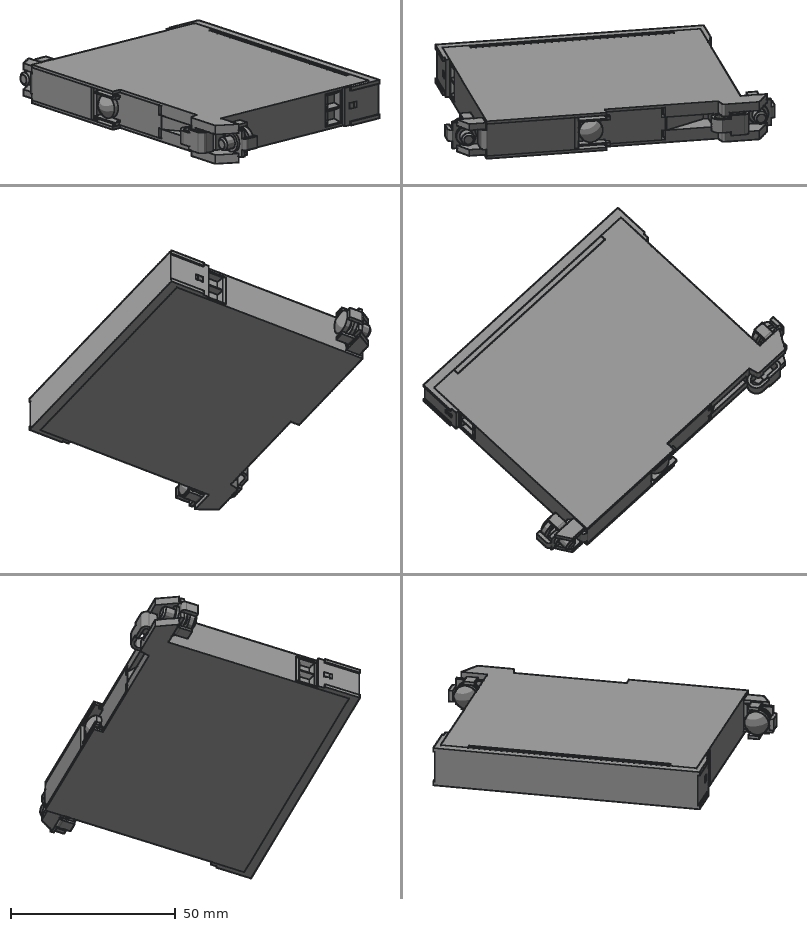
import cadquery as cq
import math


half_thickness = 6.1
housing_half_length = 40.0
housing_top = 65.9
housing_offset = -0.1
housing_left = housing_offset - housing_half_length
housing_right = housing_offset + housing_half_length
rail_notch_start = -2.8
rail_notch_end = 32.3
rail_notch_floor = 2.9
jaw_bottom = -0.2
jaw_heel = 33.1
jaw_heel_radius = 0.8
jaw_toe = 44.5
jaw_tip = 48.1
right_seat = 6.1
label_slot_half_length = 31.5
label_slot_width = 1.7
label_slot_depth = 0.3

foot_half_width = 5.2
left_seat = 5.8
channel_end = 15.9
foot_end = 14.8
foot_block_end = -12.7
foot_step_end = -11.4
foot_step_depth = 1.0
foot_arm_tip = -48.1
foot_arm_toe = -45.3
foot_arm_bottom = 1.1
foot_arm_inner = 3.1
foot_web_thickness = 1.5
hook_end = -1.7
hook_height = 1.6
hook_inner = 3.7
hook_rail_outer = 4.2
hook_head_outer = 4.7

lock_screw_x = -7.4
lock_screw_head_radius = 3.7
lock_screw_rim_height = 1.5
lock_screw_dome_height = 2.0
lock_screw_shank_radius = 1.5

spring_narrow = 2.1
spring_wide = 3.2
spring_width_step = 35.2
spring_thickness = 1.0
spring_bottom = -2.7
spring_loop_x = 32.4
spring_loop_radius = 2.7
spring_loop_tail = 1.5
spring_right = 41.0
spring_bend_radius = 1.8
spring_leg_top = 2.0
groove_ramp_start = 16.3
groove_ramp_end = 29.2
groove_end = 30.9
groove_ramp_angle = 30.0
jaw_pocket_top = 3.0

cover_top = 68.8
cover_panel = 1.1
cover_rim = 0.5
cover_rim_width = 1.2
cover_panel_bottom = 55.2
cover_rim_bottom = 57.2
catch_half_width = 0.9
catch_depth = 0.3
catch_spans = [(57.2, 58.6), (59.1, 59.9)]

port_recess_bottom = 48.4
port_recess_depth = 0.3
port_recess_half_width = 5.2
port_y = 52.0
port_pitch = 5.1
port_mouth = (5.1, 4.8)
port_throat = (3.1, 2.7)
port_depth = 1.5

terminal_x = 45.4
plate_thickness = 1.2
plate_half_width = 4.2
plate_outer = 4.1
plate_inner_bottom = 5.3
plate_inner_top = 3.9
tab_outer = 5.4
tab_half_width = 1.8
tab_bend_radius = 1.2
ear_start = -2.6
ear_end = 0.7
ear_top = 5.2
ear_outer = 5.2
ear_thickness = 1.0
ear_bend_radius = 1.2
pad_radius = 3.8
pad_height = 1.2
collar_radius = 3.0
collar_height = 0.9
screw_radius = 2.0
screw_neck_radius = 1.6
screw_tip = -4.6
screw_tip_chamfer = 0.6
screw_head_radius = 3.8
screw_head_base = 3.5
screw_rim_top = 5.1
screw_head_top = 6.5


def prism(points, z_low, z_high):
    """Straight-sided outline in XY, extruded between two Z heights."""
    return cq.Workplane("XY").workplane(offset=z_low).polyline(points).close().extrude(z_high - z_low)


def block(x_range, y_range, z_range):
    """Box given by its X, Y and Z limits."""
    (x0, x1), (y0, y1), (z0, z1) = x_range, y_range, z_range
    return cq.Workplane("XY").box(x1 - x0, y1 - y0, z1 - z0, centered=False).translate((x0, y0, z0))


def across(half_width):
    """Z range centred on the middle plane."""
    return (-half_width, half_width)


def both_sides(shape):
    """The shape together with its mirror image in the middle plane."""
    return shape.union(shape.mirror("XY"))


def upright_cylinder(radius, y_low, y_high):
    """Cylinder on the Y axis between two heights."""
    return cq.Workplane("XZ").workplane(offset=-y_low).circle(radius).extrude(y_low - y_high)


def make_ports():
    """Recess and two tapered connector openings, to be cut from the left housing end."""
    ports = block(
        (housing_left, housing_left + port_recess_depth),
        (port_recess_bottom, cover_panel_bottom),
        across(port_recess_half_width),
    )
    for z in (-port_pitch / 2, port_pitch / 2):
        funnel = (
            cq.Workplane("YZ", origin=(housing_left + port_recess_depth, port_y, z))
            .rect(*port_mouth)
            .workplane(offset=port_depth)
            .rect(*port_throat)
            .loft()
        )
        ports = ports.union(funnel)
    return ports


def make_spring_groove():
    """Ramped groove beside the rail notch, widening into the pocket in the jaw."""
    ramp_slope = math.tan(math.radians(groove_ramp_angle))
    ramp_top = rail_notch_floor + (groove_ramp_end - groove_ramp_start) * ramp_slope
    groove = prism(
        [
            (groove_ramp_start, spring_bottom),
            (groove_ramp_start, rail_notch_floor),
            (groove_ramp_end, ramp_top),
            (groove_end, ramp_top),
            (groove_end, rail_notch_floor),
            (spring_width_step, rail_notch_floor),
            (spring_width_step, spring_bottom),
        ],
        *across(spring_narrow),
    )
    pocket = block(
        (spring_width_step, spring_right), (spring_bottom, jaw_pocket_top), across(spring_wide)
    )
    screw_gap = block((spring_right, jaw_tip), (jaw_bottom, right_seat), across(spring_wide))
    return groove.union(pocket).union(screw_gap)


def make_housing():
    body = prism(
        [
            (housing_left, 0),
            (rail_notch_start, 0),
            (rail_notch_start, rail_notch_floor),
            (rail_notch_end, rail_notch_floor),
            (jaw_heel, jaw_bottom),
            (jaw_toe, jaw_bottom),
            (jaw_tip, right_seat),
            (housing_right, right_seat),
            (housing_right, housing_top),
            (housing_left, housing_top),
        ],
        *across(half_thickness),
    )
    heel_edge = cq.selectors.NearestToPointSelector((jaw_heel, jaw_bottom, 0))
    body = body.edges(heel_edge).fillet(jaw_heel_radius)
    channel = block((housing_left, channel_end), (0, left_seat), across(foot_half_width))
    label_slot = block(
        (housing_offset - label_slot_half_length, housing_offset + label_slot_half_length),
        (housing_top - label_slot_width, housing_top),
        (half_thickness - label_slot_depth, half_thickness),
    )
    left_ports = make_ports()
    right_ports = left_ports.mirror("YZ", (housing_offset, 0, 0))
    body = body.cut(channel).cut(label_slot).cut(make_spring_groove())
    return body.cut(left_ports).cut(right_ports)


def make_cover_end():
    """Left end wall of the cover with its raised rims and the catch marks."""
    panel_face = housing_left - cover_panel
    wall = block((panel_face, housing_left), (cover_panel_bottom, cover_top), across(half_thickness))
    rim = block(
        (panel_face - cover_rim, panel_face),
        (cover_rim_bottom, cover_top),
        (half_thickness - cover_rim_width, half_thickness),
    )
    wall = wall.union(both_sides(rim))
    for y_low, y_high in catch_spans:
        ramp = [(panel_face, y_low), (panel_face + catch_depth, y_low), (panel_face, y_high)]
        wall = wall.cut(prism(ramp, *across(catch_half_width)))
    return wall


def make_cover():
    strip = block((housing_left, housing_right), (housing_top, cover_top), across(half_thickness))
    left_end = make_cover_end()
    right_end = left_end.mirror("YZ", (housing_offset, 0, 0))
    return strip.union(left_end).union(right_end)


def make_foot():
    body = prism(
        [
            (housing_left, 0),
            (foot_block_end, 0),
            (foot_block_end, foot_step_depth),
            (foot_step_end, foot_step_depth),
            (foot_step_end, rail_notch_floor),
            (foot_end, rail_notch_floor),
            (foot_end, left_seat),
            (housing_left, left_seat),
        ],
        *across(foot_half_width),
    )
    end_tongue = block((foot_end, channel_end), (rail_notch_floor, left_seat), across(spring_narrow))
    arm = prism(
        [
            (housing_left, foot_arm_bottom),
            (foot_arm_toe, foot_arm_bottom),
            (foot_arm_tip, left_seat),
            (housing_left, left_seat),
        ],
        foot_arm_inner,
        foot_half_width,
    )
    web = block((housing_left - foot_web_thickness, foot_block_end), (0, left_seat), across(foot_arm_inner))
    web = web.edges("|Z and <X and <Y").fillet(foot_web_thickness)
    hook_rail = block(
        (foot_step_end, rail_notch_start), (0, rail_notch_floor), (hook_inner, hook_rail_outer)
    )
    hook_head = block((rail_notch_start, hook_end), (0, hook_height), (hook_inner, hook_head_outer))
    hook = hook_rail.union(hook_head)
    body = body.union(end_tongue).union(both_sides(arm)).union(web).union(both_sides(hook))
    screw_hole = upright_cylinder(lock_screw_shank_radius, rail_notch_floor, left_seat)
    return body.cut(screw_hole.translate((lock_screw_x, 0, 0)))


def dome_middle(radius, height):
    """Point halfway out on a domed profile, measured from the centre of the dome's base."""
    sphere_radius = (radius**2 + height**2) / (2 * height)
    middle_x = radius / 2
    return middle_x, height - sphere_radius + math.sqrt(sphere_radius**2 - middle_x**2)


def make_lock_screw():
    """Domed head on a plain shank, turned about Y with the dome toward -Y."""
    middle_x, middle_height = dome_middle(lock_screw_head_radius, lock_screw_dome_height)
    screw = (
        cq.Workplane("XY")
        .moveTo(0, left_seat - rail_notch_floor)
        .lineTo(lock_screw_shank_radius, left_seat - rail_notch_floor)
        .lineTo(lock_screw_shank_radius, 0)
        .lineTo(lock_screw_head_radius, 0)
        .lineTo(lock_screw_head_radius, -lock_screw_rim_height)
        .threePointArc(
            (middle_x, -lock_screw_rim_height - middle_height),
            (0, -lock_screw_rim_height - lock_screw_dome_height),
        )
        .close()
        .revolve(360, (0, 0, 0), (0, 1, 0))
    )
    return screw.translate((lock_screw_x, rail_notch_floor, 0))


def make_spring():
    """Bent strip: a half loop at the rail notch, a flat run and an upright leg."""
    loop_top = spring_bottom + 2 * spring_loop_radius
    bend_x = spring_right - spring_bend_radius
    bend_y = spring_bottom + spring_bend_radius
    diagonal = spring_bend_radius * math.sqrt(0.5)
    inner_loop_radius = spring_loop_radius - spring_thickness
    inner_bend_radius = spring_bend_radius - spring_thickness
    inner_diagonal = inner_bend_radius * math.sqrt(0.5)
    loop_y = spring_bottom + spring_loop_radius
    strip = (
        cq.Workplane("XY")
        .workplane(offset=-spring_wide)
        .moveTo(spring_loop_x + spring_loop_tail, loop_top)
        .lineTo(spring_loop_x, loop_top)
        .threePointArc((spring_loop_x - spring_loop_radius, loop_y), (spring_loop_x, spring_bottom))
        .lineTo(bend_x, spring_bottom)
        .threePointArc((bend_x + diagonal, bend_y - diagonal), (spring_right, bend_y))
        .lineTo(spring_right, spring_leg_top)
        .lineTo(spring_right - spring_thickness, spring_leg_top)
        .lineTo(spring_right - spring_thickness, bend_y)
        .threePointArc(
            (bend_x + inner_diagonal, bend_y - inner_diagonal), (bend_x, spring_bottom + spring_thickness)
        )
        .lineTo(spring_loop_x, spring_bottom + spring_thickness)
        .threePointArc(
            (spring_loop_x - inner_loop_radius, loop_y), (spring_loop_x, loop_top - spring_thickness)
        )
        .lineTo(spring_loop_x + spring_loop_tail, loop_top - spring_thickness)
        .close()
        .extrude(2 * spring_wide)
    )
    loop_edge = block(
        (spring_loop_x - spring_loop_radius, spring_width_step),
        (spring_bottom, loop_top),
        (spring_narrow, spring_wide),
    )
    return strip.cut(both_sides(loop_edge))


def make_terminal_plate():
    """Clamp plate at the origin, with its upturned tab toward +X."""
    base = prism(
        [
            (-plate_inner_bottom, 0),
            (plate_outer, 0),
            (plate_outer, plate_thickness),
            (-plate_inner_top, plate_thickness),
        ],
        *across(plate_half_width),
    )
    tab = block((0, tab_outer), (0, ear_top), across(tab_half_width))
    tab = tab.edges("|Z and >X and <Y").fillet(tab_bend_radius)
    tab = tab.cut(block((0, plate_outer), (plate_thickness, ear_top), across(tab_half_width)))
    ear = block((ear_start, ear_end), (0, ear_top), (0, ear_outer))
    ear = ear.edges("|X and >Z and <Y").fillet(ear_bend_radius)
    ear = ear.cut(
        block((ear_start, ear_end), (plate_thickness, ear_top), (0, ear_outer - ear_thickness))
    )
    pad = upright_cylinder(pad_radius, plate_thickness, plate_thickness + pad_height)
    collar = upright_cylinder(collar_radius, -collar_height, 0)
    hole = upright_cylinder(screw_radius, -collar_height, plate_thickness + pad_height)
    return base.union(tab).union(both_sides(ear)).union(pad).union(collar).cut(hole)


def make_terminal_screw():
    """Domed screw on the Y axis, turned from its half profile."""
    middle_x, middle_height = dome_middle(screw_head_radius, screw_head_top - screw_rim_top)
    shank_top = plate_thickness + pad_height
    return (
        cq.Workplane("XY")
        .moveTo(0, screw_tip)
        .lineTo(screw_radius - screw_tip_chamfer, screw_tip)
        .lineTo(screw_radius, screw_tip + screw_tip_chamfer)
        .lineTo(screw_radius, shank_top)
        .lineTo(screw_neck_radius, shank_top)
        .lineTo(screw_neck_radius, screw_head_base)
        .lineTo(screw_head_radius, screw_head_base)
        .lineTo(screw_head_radius, screw_rim_top)
        .threePointArc((middle_x, screw_rim_top + middle_height), (0, screw_head_top))
        .close()
        .revolve(360, (0, 0, 0), (0, 1, 0))
    )


def at_terminals(shape):
    """One copy on the foot at the left, one on the jaw at the right."""
    copies = []
    for oriented, x, seat in ((shape.mirror("YZ"), -terminal_x, left_seat), (shape, terminal_x, right_seat)):
        copies.append(oriented.translate((x, seat, 0)).val())
    return copies


housing = make_housing()
cover = make_cover()
foot = make_foot()
lock_screw = make_lock_screw()
spring = make_spring()
terminal_plates = at_terminals(make_terminal_plate())
terminal_screws = at_terminals(make_terminal_screw())

result = cq.Compound.makeCompound(
    [
        housing.val(),
        cover.val(),
        foot.val(),
        lock_screw.val(),
        spring.val(),
        *terminal_plates,
        *terminal_screws,
    ]
)